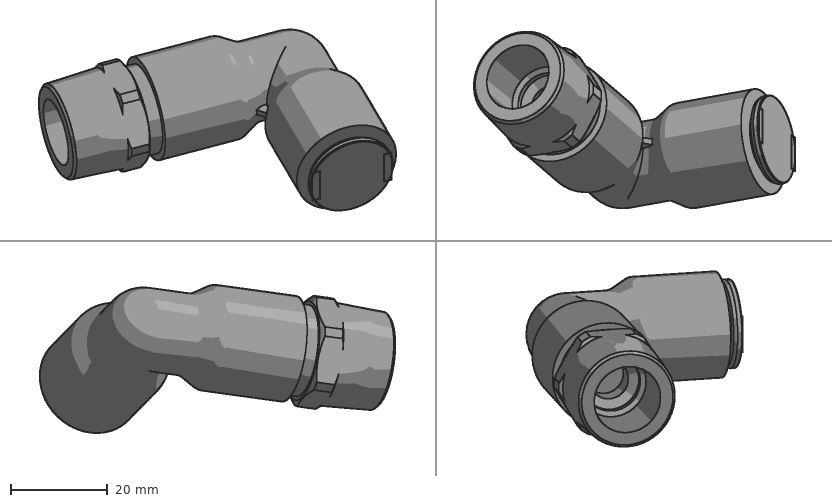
import cadquery as cq
import math

OVERALL_LENGTH = 63.0

SOCKET_DIAMETER = 22.1
SOCKET_RADIUS = SOCKET_DIAMETER / 2
TUBE_RADIUS = 8.55
ARM_LENGTH = 32.0
CONE_START = 9.6
CONE_ANGLE = 30.0
BLEND_RADIUS = 3.0
WEB_LEG = 20.55
WEB_THICKNESS = 1.25

STUD_END = OVERALL_LENGTH - SOCKET_RADIUS
STUD_NECK_RADIUS = 9.6
HEX_START = 35.0
HEX_END = 40.1
HEX_SIDES = 6
HEX_ACROSS_FLATS = 21.05
HEX_CORNER_RADIUS = 11.6
HEX_FACE_RADIUS = 10.35
HEX_CHAMFER_ANGLE = 30.0
TAPER_START_RADIUS = 10.85
TAPER_END_RADIUS = 10.3
TIP_CHAMFER = 0.55
BORE_RADIUS = 7.05
BORE_STEP_RADIUS = 6.0
PASSAGE_RADIUS = 4.05
BORE_DEPTH = 12.6
BORE_STEP_LENGTH = 1.25
BORE_CONE_ANGLE = 60.0

RING_NECK_RADIUS = 6.8
FLANGE_RADIUS = 9.25
FLANGE_START = 33.2
FLANGE_END = 35.0
FLANGE_BEVEL_LENGTH = 0.75
FLANGE_BEVEL_HEIGHT = 0.4
FLANGE_EDGE_CHAMFER = 0.2
TAB_WIDTH = 7.55
TAB_INNER = 7.1
TAB_OUTER = 8.8
TAB_HEIGHT = 0.1


def tan_deg(angle):
    return math.tan(math.radians(angle))


def revolve_about_x(profile):
    """Full turn about the X axis of a closed profile drawn as (distance along X, radius)."""
    return profile.close().revolve(360, (0, 0, 0), (1, 0, 0))


def along_stud_arm(body):
    """Swing a body built along +X round onto the -Y arm."""
    return body.rotate((0, 0, 0), (0, 0, 1), -90)


def make_arm():
    """One arm: tube, rounded cone and socket sleeve, along +X from the crossing."""
    cone_end = CONE_START + (SOCKET_RADIUS - TUBE_RADIUS) / tan_deg(CONE_ANGLE)
    tangent = BLEND_RADIUS * tan_deg(CONE_ANGLE / 2)
    along_cone = tangent * math.cos(math.radians(CONE_ANGLE))
    up_cone = tangent * math.sin(math.radians(CONE_ANGLE))
    mid_run = BLEND_RADIUS * math.sin(math.radians(CONE_ANGLE / 2))
    mid_rise = BLEND_RADIUS * (1 - math.cos(math.radians(CONE_ANGLE / 2)))
    blend_start = CONE_START - tangent
    blend_end = cone_end + tangent
    profile = (
        cq.Workplane("XY")
        .lineTo(0, TUBE_RADIUS)
        .lineTo(blend_start, TUBE_RADIUS)
        .threePointArc(
            (blend_start + mid_run, TUBE_RADIUS + mid_rise),
            (CONE_START + along_cone, TUBE_RADIUS + up_cone),
        )
        .lineTo(cone_end - along_cone, SOCKET_RADIUS - up_cone)
        .threePointArc(
            (blend_end - mid_run, SOCKET_RADIUS - mid_rise),
            (blend_end, SOCKET_RADIUS),
        )
        .lineTo(ARM_LENGTH, SOCKET_RADIUS)
        .lineTo(ARM_LENGTH, 0)
    )
    return revolve_about_x(profile)


def make_housing():
    """Two equal arms joined by a spherical corner, with a thin web in the inner corner."""
    arm = make_arm()
    corner = cq.Workplane("XY").sphere(TUBE_RADIUS)
    web = (
        cq.Workplane("XY")
        .polyline([(0, 0), (WEB_LEG, 0), (0, -WEB_LEG)])
        .close()
        .extrude(WEB_THICKNESS / 2, both=True)
    )
    return arm.union(along_stud_arm(arm)).union(corner).union(web)


def make_stud():
    """Hexagon and tapered thread on one neck, with a stepped passage from the open end."""
    chamfer_slope = tan_deg(HEX_CHAMFER_ANGLE)
    front_chamfer = (HEX_CORNER_RADIUS - HEX_FACE_RADIUS) * chamfer_slope
    back_chamfer = (HEX_CORNER_RADIUS - TAPER_START_RADIUS) * chamfer_slope
    blank = revolve_about_x(
        cq.Workplane("XY")
        .moveTo(ARM_LENGTH, 0)
        .lineTo(ARM_LENGTH, STUD_NECK_RADIUS)
        .lineTo(HEX_START, STUD_NECK_RADIUS)
        .lineTo(HEX_START, HEX_FACE_RADIUS)
        .lineTo(HEX_START + front_chamfer, HEX_CORNER_RADIUS)
        .lineTo(HEX_END - back_chamfer, HEX_CORNER_RADIUS)
        .lineTo(HEX_END, TAPER_START_RADIUS)
        .lineTo(STUD_END - TIP_CHAMFER, TAPER_END_RADIUS)
        .lineTo(STUD_END, TAPER_END_RADIUS - TIP_CHAMFER)
        .lineTo(STUD_END, 0)
    )

    across_corners = HEX_ACROSS_FLATS / math.cos(math.pi / HEX_SIDES)
    hexagon = (
        cq.Workplane("YZ", origin=(ARM_LENGTH, 0, 0))
        .polygon(HEX_SIDES, across_corners)
        .extrude(STUD_END - ARM_LENGTH)
    )

    cone_slope = tan_deg(BORE_CONE_ANGLE)
    bore_bottom = STUD_END - BORE_DEPTH
    step_start = bore_bottom - (BORE_RADIUS - BORE_STEP_RADIUS) / cone_slope
    step_end = step_start - BORE_STEP_LENGTH
    passage_start = step_end - (BORE_STEP_RADIUS - PASSAGE_RADIUS) / cone_slope
    passage = revolve_about_x(
        cq.Workplane("XY")
        .moveTo(ARM_LENGTH, 0)
        .lineTo(ARM_LENGTH, PASSAGE_RADIUS)
        .lineTo(passage_start, PASSAGE_RADIUS)
        .lineTo(step_end, BORE_STEP_RADIUS)
        .lineTo(step_start, BORE_STEP_RADIUS)
        .lineTo(bore_bottom, BORE_RADIUS)
        .lineTo(STUD_END, BORE_RADIUS)
        .lineTo(STUD_END, 0)
    )
    return along_stud_arm(blank.intersect(hexagon).cut(passage))


def make_release_ring():
    """Neck and flange at the end of the +X arm, with two low tabs on the outer face."""
    ring = revolve_about_x(
        cq.Workplane("XY")
        .moveTo(ARM_LENGTH, 0)
        .lineTo(ARM_LENGTH, RING_NECK_RADIUS)
        .lineTo(FLANGE_START, RING_NECK_RADIUS)
        .lineTo(FLANGE_START, FLANGE_RADIUS - FLANGE_BEVEL_HEIGHT)
        .lineTo(FLANGE_START + FLANGE_BEVEL_LENGTH, FLANGE_RADIUS)
        .lineTo(FLANGE_END - FLANGE_EDGE_CHAMFER, FLANGE_RADIUS)
        .lineTo(FLANGE_END, FLANGE_RADIUS - FLANGE_EDGE_CHAMFER)
        .lineTo(FLANGE_END, 0)
    )
    tab_centre = (TAB_INNER + TAB_OUTER) / 2
    tabs = (
        cq.Workplane("YZ", origin=(FLANGE_END, 0, 0))
        .pushPoints([(-tab_centre, 0), (tab_centre, 0)])
        .rect(TAB_OUTER - TAB_INNER, TAB_WIDTH)
        .extrude(TAB_HEIGHT)
    )
    return ring.union(tabs)


housing = make_housing()
stud = make_stud()
release_ring = make_release_ring()

result = cq.Compound.makeCompound([housing.val(), stud.val(), release_ring.val()])